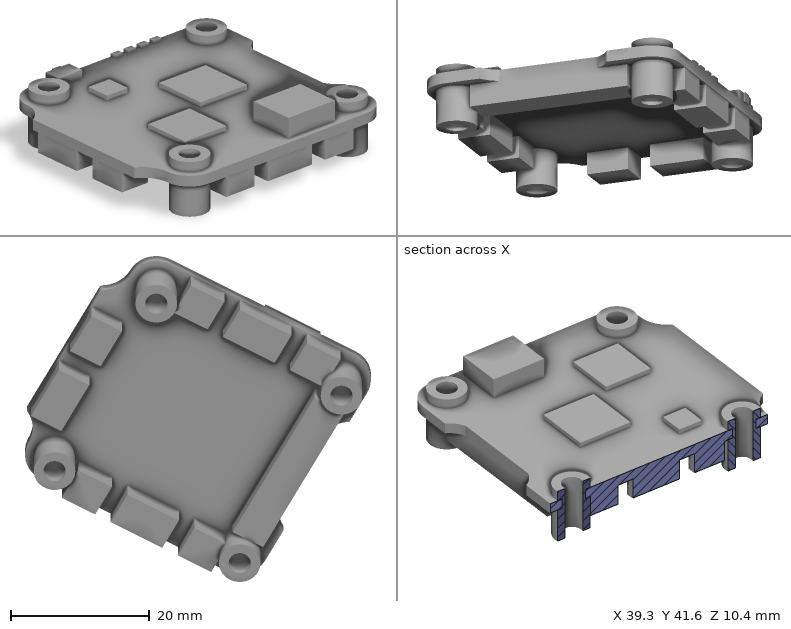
import cadquery as cq

hole_pitch = 30.5
corner_radius = 4.25
board_thickness = 1.7
half_pitch = hole_pitch / 2
half_width = half_pitch + corner_radius
tail_edge_y = -22.1
tail_half_width = 11.0
tail_arc_radius = 4.9
notch_floor_y = 17.45
notch_floor_half_width = 7.6
notch_mouth_half_width = 9.9
notch_arc_radius = 4.9

grommet_diameter = 6.0
neck_diameter = 4.2
bore_diameter = 3.2
upper_flange_height = 1.6
lower_flange_height = 5.4

chip_height = 0.9
processor_size = 9.0
processor_center = (-2.25, 3.0)
driver_size = 8.0
driver_center = (6.7, -8.05)
sensor_size = 4.0
sensor_center = (-10.45, -8.05)
top_socket_width = 7.5
top_socket_length = 9.0
top_socket_center = (14.7, 5.5)
pad_count = 4
pad_pitch = 2.5
pad_depth = 1.0
pad_length = 1.5
pad_height = 0.5
first_pad_y = 1.25
button_depth = 2.85
button_length = 4.5
button_height = 1.4
button_y = -9.8
plunger_travel = 0.3
plunger_length = 1.5

socket_height = 3.3
socket_depth = 5.0
side_socket_setback = 0.15
tail_socket_setback = 0.1
side_sockets = [(10.05, 5.5), (0.5, 8.5), (-9.05, 5.5)]
tail_sockets = [(-5.85, 8.4), (4.95, 6.4)]
rear_socket_length = hole_pitch - grommet_diameter

mount_points = [(x, y) for x in (-half_pitch, half_pitch) for y in (-half_pitch, half_pitch)]


def block(x_size, y_size, z_size, center, z_base=0.0):
    """Plain box standing on z_base, centred on the given XY point."""
    box = cq.Workplane("XY").box(x_size, y_size, z_size, centered=(True, True, False))
    return box.translate((center[0], center[1], z_base))


def board_outline():
    """Rounded square with a notch in the +Y edge and a tail on the -Y edge."""
    return (
        cq.Workplane("XY", origin=(0, 0, -board_thickness))
        .moveTo(-tail_half_width, tail_edge_y)
        .lineTo(tail_half_width, tail_edge_y)
        .radiusArc((half_pitch, -half_width), tail_arc_radius)
        .radiusArc((half_width, -half_pitch), -corner_radius)
        .lineTo(half_width, half_pitch)
        .radiusArc((half_pitch, half_width), -corner_radius)
        .lineTo(notch_mouth_half_width, half_width)
        .radiusArc((notch_floor_half_width, notch_floor_y), notch_arc_radius)
        .lineTo(-notch_floor_half_width, notch_floor_y)
        .radiusArc((-notch_mouth_half_width, half_width), notch_arc_radius)
        .lineTo(-half_pitch, half_width)
        .radiusArc((-half_width, half_pitch), -corner_radius)
        .lineTo(-half_width, -half_pitch)
        .radiusArc((-half_pitch, -half_width), -corner_radius)
        .radiusArc((-tail_half_width, tail_edge_y), tail_arc_radius)
        .close()
    )


def top_parts():
    """Chips, solder pads, the upright socket and the edge button on the top face."""
    parts = [
        block(processor_size, processor_size, chip_height, processor_center),
        block(driver_size, driver_size, chip_height, driver_center),
        block(sensor_size, sensor_size, chip_height, sensor_center),
        block(top_socket_width, top_socket_length, socket_height, top_socket_center),
    ]
    for index in range(pad_count):
        pad_center = (-half_width + pad_depth / 2, first_pad_y + index * pad_pitch)
        parts.append(block(pad_depth, pad_length, pad_height, pad_center))

    button_center = (-half_width + button_depth / 2, button_y)
    parts.append(block(button_depth, button_length, button_height, button_center))
    plunger_center = (-half_width - plunger_travel / 2, button_y)
    parts.append(block(plunger_travel, plunger_length, button_height, plunger_center))
    return parts


def bottom_parts():
    """Sockets around the edges of the underside."""
    z_base = -board_thickness - socket_height
    side_x = half_width - side_socket_setback - socket_depth / 2
    parts = []
    for center_y, length in side_sockets:
        for x in (-side_x, side_x):
            parts.append(block(socket_depth, length, socket_height, (x, center_y), z_base))
    for center_x, length in tail_sockets:
        center = (center_x, tail_edge_y + tail_socket_setback + socket_depth / 2)
        parts.append(block(length, socket_depth, socket_height, center, z_base))
    rear_center = (0, notch_floor_y - socket_depth / 2)
    parts.append(block(rear_socket_length, socket_depth, socket_height, rear_center, z_base))
    return parts


def build_board():
    """Board with all its parts, bored for the necks and cleared for the lower flanges."""
    board = board_outline().extrude(board_thickness)
    for part in top_parts() + bottom_parts():
        board = board.union(part)
    for x, y in mount_points:
        underside = cq.Workplane("XY", origin=(x, y, -board_thickness))
        neck_hole = underside.circle(neck_diameter / 2).extrude(board_thickness)
        flange_room = underside.circle(grommet_diameter / 2).extrude(-lower_flange_height)
        board = board.cut(neck_hole).cut(flange_room)
    return board


def build_grommet(x, y):
    """Spool gripping the board: two flanges joined by a neck, with a through bore."""
    bore = bore_diameter / 2
    neck = neck_diameter / 2
    flange = grommet_diameter / 2
    bottom = -board_thickness - lower_flange_height
    profile = [
        (bore, bottom),
        (flange, bottom),
        (flange, -board_thickness),
        (neck, -board_thickness),
        (neck, 0),
        (flange, 0),
        (flange, upper_flange_height),
        (bore, upper_flange_height),
    ]
    spool = cq.Workplane("XZ").polyline(profile).close().revolve(360, (0, 0, 0), (0, 1, 0))
    return spool.translate((x, y, 0))


board = build_board()
grommets = [build_grommet(x, y) for x, y in mount_points]

result = cq.Compound.makeCompound([board.val(), *[grommet.val() for grommet in grommets]])